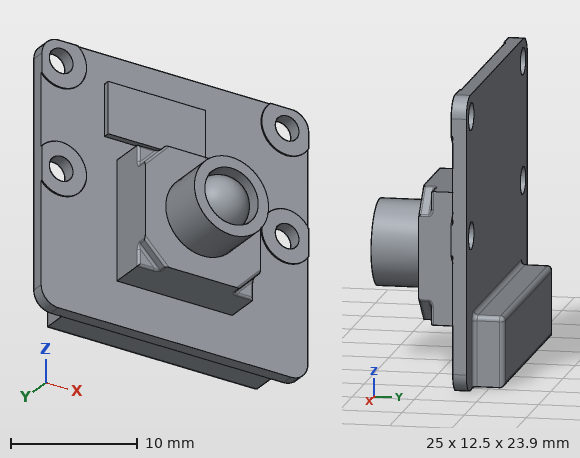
import cadquery as cq
import math


BOARD_WIDTH = 25.0
BOARD_HEIGHT = 23.85
BOARD_THICKNESS = 1.1
BOARD_CORNER_RADIUS = 1.6

HOLE_DIAMETER = 2.2
HOLE_TOP_MARGIN = 1.8
LEFT_HOLE_MARGIN = 1.8
HOLE_COLUMN_SPACING = 21.18
HOLE_ROW_SPACING = 9.62
PAD_DIAMETER = 4.75
PAD_THICKNESS = 0.12

CHIP_WIDTH = 9.1
CHIP_HEIGHT = 4.68
CHIP_THICKNESS = 0.55
CHIP_LEFT = -6.58
CHIP_BOTTOM = 16.52

LENS_Z = 9.35
HOUSING_SIZE = 10.8
HOUSING_DEPTH = 4.15
POCKET_LEG = 1.95
POCKET_DEPTH = 1.0
POCKET_FILLET = 0.2

BARREL_DIAMETER = 6.95
BARREL_LENGTH = 4.2
LENS_DIAMETER = 5.0
LENS_PROTRUSION = 0.5

CONNECTOR_WIDTH = 19.6
CONNECTOR_HEIGHT = 5.72
CONNECTOR_DEPTH = 2.55
CONNECTOR_LEFT = -9.78
CONNECTOR_BOTTOM = 0.1
CONNECTOR_FILLET = 0.4
CONNECTOR_BASE_FILLET = 0.35

LEFT_HOLE_X = LEFT_HOLE_MARGIN - BOARD_WIDTH / 2
TOP_HOLE_Z = BOARD_HEIGHT - HOLE_TOP_MARGIN
HOLE_CENTERS = [
    (x, z)
    for x in (LEFT_HOLE_X, LEFT_HOLE_X + HOLE_COLUMN_SPACING)
    for z in (TOP_HOLE_Z, TOP_HOLE_Z - HOLE_ROW_SPACING)
]
HOUSING_FRONT_Y = -HOUSING_DEPTH
TOLERANCE = 0.002


def front_plane(y, z=0.0):
    """Sketch plane facing -Y: local x is X, local y is Z, extrusions run toward -Y."""
    return cq.Workplane("XZ", origin=(0, y, z))


def board_blank(front_y, thickness):
    """Rounded board outline, reaching back from front_y by thickness."""
    return (
        front_plane(front_y, BOARD_HEIGHT / 2)
        .rect(BOARD_WIDTH, BOARD_HEIGHT)
        .extrude(-thickness)
        .edges("|Y")
        .fillet(BOARD_CORNER_RADIUS)
    )


def connector():
    """Cable connector block, rounded around its back face and along one upright corner."""
    block = cq.Workplane("XY").box(CONNECTOR_WIDTH, CONNECTOR_DEPTH, CONNECTOR_HEIGHT, centered=False)
    block = block.edges(">X and >Z").fillet(CONNECTOR_FILLET)
    block = block.faces(">Y").edges().fillet(CONNECTOR_FILLET)
    return block.translate((CONNECTOR_LEFT, BOARD_THICKNESS, CONNECTOR_BOTTOM))


def board_with_connector():
    """Board and connector, with a fillet where the connector's top and ends meet the board."""
    body = board_blank(0, BOARD_THICKNESS).union(connector())
    margin = 0.25
    base_edges = cq.selectors.BoxSelector(
        (CONNECTOR_LEFT - margin, BOARD_THICKNESS - TOLERANCE, CONNECTOR_BOTTOM + margin),
        (
            CONNECTOR_LEFT + CONNECTOR_WIDTH + margin,
            BOARD_THICKNESS + TOLERANCE,
            CONNECTOR_BOTTOM + CONNECTOR_HEIGHT + margin,
        ),
    )
    return body.edges(base_edges).fillet(CONNECTOR_BASE_FILLET)


def pads():
    """Thin round pads on the front face, trimmed to the board outline."""
    discs = front_plane(0).pushPoints(HOLE_CENTERS).circle(PAD_DIAMETER / 2).extrude(PAD_THICKNESS)
    return discs.intersect(board_blank(-PAD_THICKNESS, PAD_THICKNESS))


def chip():
    return (
        front_plane(0)
        .center(CHIP_LEFT, CHIP_BOTTOM)
        .rect(CHIP_WIDTH, CHIP_HEIGHT, centered=False)
        .extrude(CHIP_THICKNESS)
    )


def corner_pocket():
    """Cutter for one housing corner, rounded where its slanted wall meets its floor."""
    half = HOUSING_SIZE / 2
    overrun = POCKET_LEG
    outer = half + overrun
    inner = half - POCKET_LEG - overrun
    return (
        front_plane(HOUSING_FRONT_Y + POCKET_DEPTH, LENS_Z)
        .polyline([(inner, outer), (outer, inner), (outer, outer)])
        .close()
        .extrude(POCKET_DEPTH)
        .faces(">Y")
        .edges("<(1, 0, 1)")
        .fillet(POCKET_FILLET)
    )


def is_pocket_rim(edge):
    """True for the outer edges of the corner pockets, on the housing's sides and front."""
    half = HOUSING_SIZE / 2
    center = edge.Center()
    across = sorted((abs(center.x), abs(center.z - LENS_Z)))
    in_pocket = center.y < HOUSING_FRONT_Y + POCKET_DEPTH + TOLERANCE and across[0] > TOLERANCE
    on_side = across[1] > half - TOLERANCE
    on_front = center.y < HOUSING_FRONT_Y + TOLERANCE
    return in_pocket and (on_side or on_front)


def housing():
    block = front_plane(0, LENS_Z).rect(HOUSING_SIZE, HOUSING_SIZE).extrude(HOUSING_DEPTH)
    pocket = corner_pocket()
    for quarter in range(4):
        block = block.cut(pocket.rotate((0, 0, LENS_Z), (0, 1, LENS_Z), 90 * quarter))
    return block.edges().filter(is_pocket_rim).fillet(POCKET_FILLET)


def barrel():
    """Barrel bored down to the middle of its ball lens, revolved about the lens axis."""
    barrel_radius = BARREL_DIAMETER / 2
    lens_radius = LENS_DIAMETER / 2
    barrel_front_y = HOUSING_FRONT_Y - BARREL_LENGTH
    lens_front_y = barrel_front_y - LENS_PROTRUSION
    lens_center_y = lens_front_y + lens_radius
    arc_step = lens_radius * math.sqrt(0.5)
    return (
        cq.Workplane("YZ", origin=(0, 0, LENS_Z))
        .moveTo(HOUSING_FRONT_Y, 0)
        .lineTo(HOUSING_FRONT_Y, barrel_radius)
        .lineTo(barrel_front_y, barrel_radius)
        .lineTo(barrel_front_y, lens_radius)
        .lineTo(lens_center_y, lens_radius)
        .threePointArc((lens_center_y - arc_step, arc_step), (lens_front_y, 0))
        .close()
        .revolve(360, (0, 0, 0), (1, 0, 0))
    )


def mounting_holes():
    return (
        front_plane(-PAD_THICKNESS)
        .pushPoints(HOLE_CENTERS)
        .circle(HOLE_DIAMETER / 2)
        .extrude(-(PAD_THICKNESS + BOARD_THICKNESS))
    )


result = (
    board_with_connector()
    .union(pads())
    .union(chip())
    .union(housing())
    .union(barrel())
    .cut(mounting_holes())
)